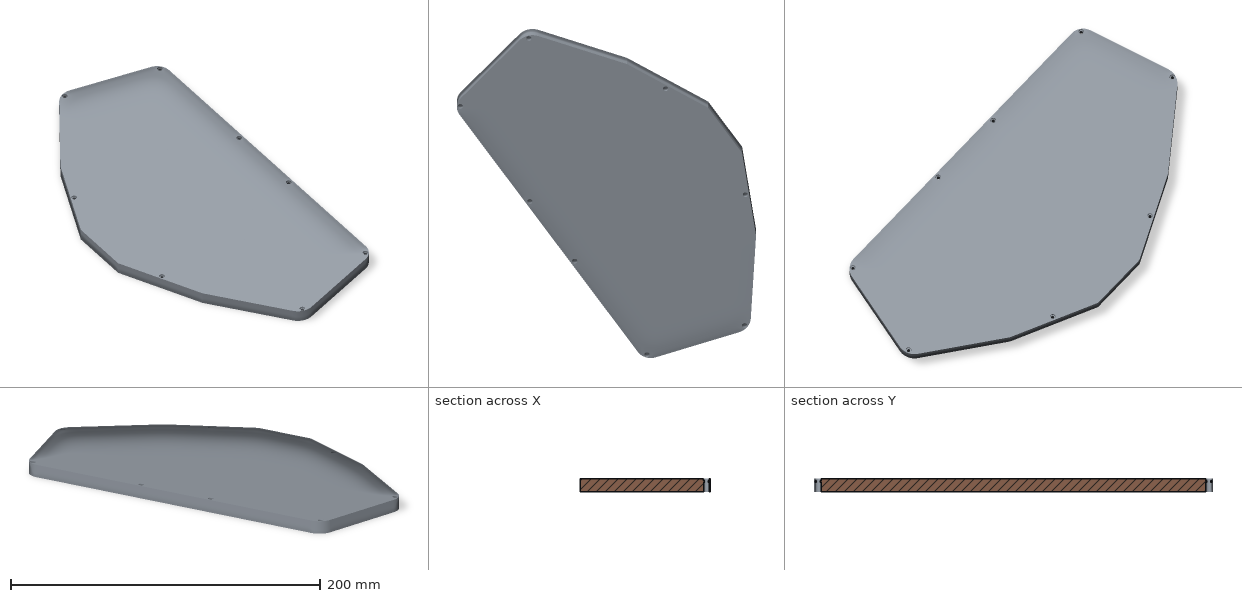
import cadquery as cq

thickness = 8.5
depth = 137.0
back_half_width = 112.3
side_half_width = 130.5
side_setback = 70.0
shoulder_half_width = 75.5
shoulder_setback = 111.0
front_half_width = 20.0
back_corner_radius = 10.0
side_corner_radius = 11.4

screw_diameter = 2.1
counterbore_mouth_diameter = 3.5
counterbore_floor_diameter = 3.4
counterbore_depth = 1.0
lower_bore_diameter = counterbore_floor_diameter
web_bottom_depth = 2.3
screw_pairs = [
    (26.3, 2.8),
    (109.5, 4.0),
    (126.5, 68.5),
    (46.7, 121.8),
]

back_y = depth / 2


def make_plate():
    right_side = [
        (back_half_width, back_y),
        (side_half_width, back_y - side_setback),
        (shoulder_half_width, back_y - shoulder_setback),
        (front_half_width, back_y - depth),
    ]
    left_side = [(-x, y) for x, y in reversed(right_side)]
    plate = cq.Workplane("XY").polyline(right_side + left_side).close().extrude(thickness)
    plate = round_corners(plate, back_half_width, back_y, back_corner_radius)
    return round_corners(plate, side_half_width, back_y - side_setback, side_corner_radius)


def round_corners(plate, half_width, y, radius):
    """Round the mirrored pair of upright edges at +/- half_width."""
    for x in (-half_width, half_width):
        corner = cq.selectors.NearestToPointSelector((x, y, thickness / 2))
        plate = plate.edges("|Z").edges(corner).fillet(radius)
    return plate


def make_hole_cutter():
    """Build the stepped hole, standing on the bottom face at the origin."""
    screw = cq.Workplane("XY").circle(screw_diameter / 2).extrude(thickness)
    lower_bore = cq.Workplane("XY").circle(lower_bore_diameter / 2).extrude(thickness - web_bottom_depth)
    counterbore = cq.Solid.makeCone(
        counterbore_floor_diameter / 2,
        counterbore_mouth_diameter / 2,
        counterbore_depth,
        pnt=cq.Vector(0, 0, thickness - counterbore_depth),
    )
    return screw.union(lower_bore).union(cq.Workplane(counterbore))


def drill_screw_holes(plate):
    cutter = make_hole_cutter()
    for half_spacing, setback in screw_pairs:
        for x in (-half_spacing, half_spacing):
            plate = plate.cut(cutter.translate((x, back_y - setback, 0)))
    return plate


result = drill_screw_holes(make_plate())